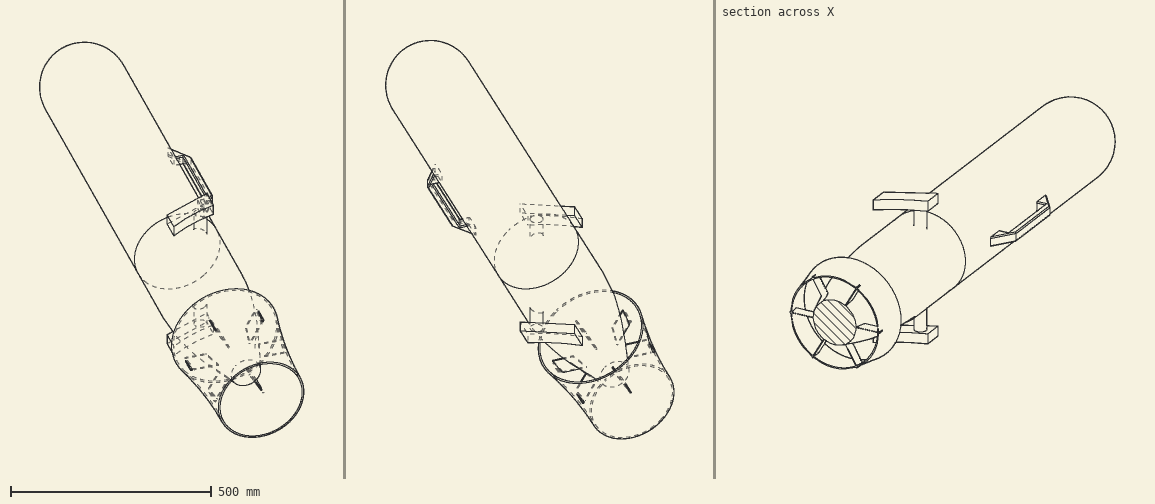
import cadquery as cq

HULL_RADIUS = 113.0
JOINT_X = 864.0
TAPER_START_X = 1065.0
TAIL_END_X = 1419.0
TAIL_END_RADIUS = 39.0
TAIL_END_SLOPE = 0.3
TAPER_MID_X = 1250.0
TAPER_MID_RADIUS = 86.0

HANDLE_TOP_Y = 155.0
HANDLE_CENTER_X = 588.0
HANDLE_FOOT_LENGTH = 290.0
HANDLE_TOP_LENGTH = 176.0
HANDLE_OPENING_LENGTH = 191.0
HANDLE_BAR_THICKNESS = 19.0
HANDLE_WIDTH = 26.0
HANDLE_FOOT_DEPTH = 31.0
HANDLE_EDGE_CHAMFER = 3.0

SHROUD_FRONT_X = 1250.0
SHROUD_REAR_X = 1542.0
SHROUD_FRONT_RADIUS = 140.0
SHROUD_REAR_RADIUS = 113.0
SHROUD_WALL = 5.0

STRUT_COUNT = 6
STRUT_FRONT_X = 1311.0
STRUT_LENGTH = 54.0
STRUT_THICKNESS = 3.0
STRUT_REACH = 128.0

FIN_SPREAD = 393.0
FIN_TOP_Z = FIN_SPREAD / 2
FIN_THICKNESS = 28.0
FIN_HALF_SPAN = 62.0
FIN_SWEEP = 59.0
FIN_LEADING_X = 913.0
FIN_CHORD = 54.0
FIN_TRAILING_SAG = 6.0
POST_X = 952.0
POST_Y = 32.0
POST_DIAMETER = 32.0
POST_FILLET = 8.0


def make_handle():
    foot_y = HULL_RADIUS - HANDLE_FOOT_DEPTH
    opening_top_y = HANDLE_TOP_Y - HANDLE_BAR_THICKNESS
    half_foot = HANDLE_FOOT_LENGTH / 2
    half_top = HANDLE_TOP_LENGTH / 2
    bar = (
        cq.Workplane("XY")
        .polyline([
            (HANDLE_CENTER_X - half_foot, HULL_RADIUS),
            (HANDLE_CENTER_X - half_top, HANDLE_TOP_Y),
            (HANDLE_CENTER_X + half_top, HANDLE_TOP_Y),
            (HANDLE_CENTER_X + half_foot, HULL_RADIUS),
            (HANDLE_CENTER_X + half_foot, foot_y),
            (HANDLE_CENTER_X - half_foot, foot_y),
        ])
        .close()
        .extrude(HANDLE_WIDTH / 2, both=True)
    )
    opening = (
        cq.Workplane("XY")
        .center(HANDLE_CENTER_X, (opening_top_y + foot_y) / 2)
        .rect(HANDLE_OPENING_LENGTH, opening_top_y - foot_y)
        .extrude(HANDLE_WIDTH, both=True)
    )
    return bar.cut(opening).faces("<Z or >Z").edges().chamfer(HANDLE_EDGE_CHAMFER)


def make_front_hull():
    hull = (
        cq.Workplane("XY")
        .moveTo(0, 0)
        .radiusArc((HULL_RADIUS, HULL_RADIUS), HULL_RADIUS)
        .lineTo(JOINT_X, HULL_RADIUS)
        .lineTo(JOINT_X, 0)
        .close()
        .revolve(360, (0, 0, 0), (1, 0, 0))
    )
    return hull.union(make_handle())


def make_tail_core():
    return (
        cq.Workplane("XY")
        .moveTo(JOINT_X, 0)
        .lineTo(JOINT_X, HULL_RADIUS)
        .lineTo(TAPER_START_X, HULL_RADIUS)
        .spline([(TAPER_MID_X, TAPER_MID_RADIUS), (TAIL_END_X, TAIL_END_RADIUS)],
                tangents=[(1, 0), (1, -TAIL_END_SLOPE)], includeCurrent=True)
        .lineTo(TAIL_END_X, 0)
        .close()
        .revolve(360, (0, 0, 0), (1, 0, 0))
    )


def make_shroud():
    length = SHROUD_REAR_X - SHROUD_FRONT_X
    rise = SHROUD_FRONT_RADIUS - SHROUD_REAR_RADIUS
    flare_radius = (length**2 + rise**2) / (2 * rise)
    return (
        cq.Workplane("XY")
        .moveTo(SHROUD_FRONT_X, SHROUD_FRONT_RADIUS)
        .radiusArc((SHROUD_REAR_X, SHROUD_REAR_RADIUS), -flare_radius)
        .lineTo(SHROUD_REAR_X, SHROUD_REAR_RADIUS - SHROUD_WALL)
        .radiusArc((SHROUD_FRONT_X, SHROUD_FRONT_RADIUS - SHROUD_WALL), flare_radius)
        .close()
        .revolve(360, (0, 0, 0), (1, 0, 0))
    )


def make_strut(index):
    strut = cq.Workplane("XY").box(
        STRUT_LENGTH, STRUT_REACH, STRUT_THICKNESS, centered=(False, False, True)
    )
    return strut.translate((STRUT_FRONT_X, 0, 0)).rotate(
        (0, 0, 0), (1, 0, 0), index * 360 / STRUT_COUNT
    )


def make_post():
    return (
        cq.Workplane("XY", origin=(POST_X, POST_Y, 0))
        .circle(POST_DIAMETER / 2)
        .extrude(FIN_TOP_Z - FIN_THICKNESS)
    )


def make_fin():
    tip_x = FIN_LEADING_X + FIN_SWEEP
    return (
        cq.Workplane("XY", origin=(0, 0, FIN_TOP_Z - FIN_THICKNESS))
        .moveTo(FIN_LEADING_X, FIN_HALF_SPAN)
        .lineTo(FIN_LEADING_X + FIN_CHORD, FIN_HALF_SPAN)
        .sagittaArc((tip_x + FIN_CHORD, -FIN_HALF_SPAN), -FIN_TRAILING_SAG)
        .lineTo(tip_x, -FIN_HALF_SPAN)
        .close()
        .extrude(FIN_THICKNESS)
    )


def post_root_edges(side):
    return cq.selectors.BoxSelector(
        (POST_X - POST_DIAMETER, POST_Y - POST_DIAMETER, side * HULL_RADIUS / 2),
        (POST_X + POST_DIAMETER, POST_Y + POST_DIAMETER, side * (HULL_RADIUS + POST_FILLET)),
    )


def make_tail_section():
    post = make_post()
    tail = make_tail_core().union(post).union(post.mirror("XY"))
    for side in (1, -1):
        tail = tail.edges(post_root_edges(side)).fillet(POST_FILLET)
    fin = make_fin()
    tail = tail.union(fin).union(fin.mirror("XY")).union(make_shroud())
    for index in range(STRUT_COUNT):
        tail = tail.union(make_strut(index))
    return tail


front_hull = make_front_hull()
tail_section = make_tail_section()

result = cq.Compound.makeCompound([front_hull.val(), tail_section.val()])